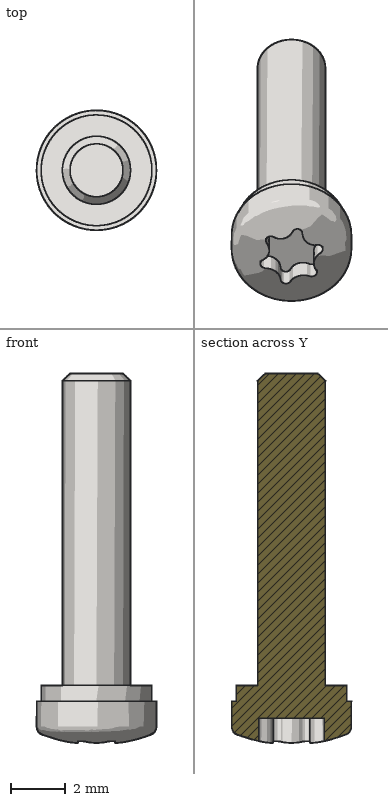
import cadquery as cq
import math

shank_diameter = 2.5
shank_end_height = 12.0
shank_chamfer_width = 0.28
shank_chamfer_height = 0.27
collar_diameter = 4.06
collar_height = 0.57
head_diameter = 4.4
head_height = 1.54
head_edge_radius = 0.32
dome_radius = 5.6

lobe_count = 6
lobe_tip_diameter = 2.39
lobe_root_diameter = 1.695
lobe_tip_radius = 0.19
recess_depth = 0.9

head_radius = head_diameter / 2
lobe_root_reach = lobe_root_diameter / 2


def dome_sag(radius):
    """Height of the dome surface above its apex at a distance from the axis."""
    return dome_radius - math.sqrt(dome_radius**2 - radius**2)


dome_apex_z = -head_height - dome_sag(lobe_root_reach)
dome_edge_z = dome_apex_z + dome_sag(head_radius)


def make_head():
    """Cylindrical head with a domed underside and a rounded edge."""
    mid_radius = head_radius / 2
    profile = (
        cq.Workplane("XZ")
        .moveTo(0, 0)
        .lineTo(head_radius, 0)
        .lineTo(head_radius, dome_edge_z)
        .threePointArc((mid_radius, dome_apex_z + dome_sag(mid_radius)), (0, dome_apex_z))
        .close()
    )
    head = profile.revolve(360, (0, 0, 0), (0, 1, 0))
    dome_edge = head.faces("<Z").edges("%CIRCLE").edges(">Z")
    return dome_edge.fillet(head_edge_radius)


def make_collar():
    """Low round step between the head and the shank."""
    return cq.Workplane("XY").circle(collar_diameter / 2).extrude(collar_height)


def make_shank():
    """Plain round shank with a chamfered free end."""
    shank = cq.Workplane("XY").circle(shank_diameter / 2).extrude(shank_end_height)
    return shank.faces(">Z").chamfer(shank_chamfer_height, shank_chamfer_width)


def polar(radius, angle):
    """Point in the XY plane at a distance and angle (radians) from the axis."""
    return (radius * math.cos(angle), radius * math.sin(angle))


def make_recess():
    """Six-lobe pocket: rounded lobe tips joined by tangent inward arcs."""
    half_pitch = math.pi / lobe_count
    tip_reach = lobe_tip_diameter / 2
    tip_center = tip_reach - lobe_tip_radius

    root_radius = (
        tip_center**2
        + lobe_root_reach**2
        - 2 * tip_center * lobe_root_reach * math.cos(half_pitch)
        - lobe_tip_radius**2
    ) / (2 * (lobe_tip_radius - lobe_root_reach + tip_center * math.cos(half_pitch)))

    root_x, root_y = polar(lobe_root_reach + root_radius, half_pitch)
    tip_share = lobe_tip_radius / (lobe_tip_radius + root_radius)
    tangent_x = tip_center + tip_share * (root_x - tip_center)
    tangent_y = tip_share * root_y
    tangent_reach = math.hypot(tangent_x, tangent_y)
    tangent_angle = math.atan2(tangent_y, tangent_x)

    outline = cq.Workplane("XY", origin=(0, 0, dome_apex_z))
    outline = outline.moveTo(*polar(tangent_reach, -tangent_angle))
    for index in range(lobe_count):
        lobe_angle = 2 * half_pitch * index
        next_angle = lobe_angle + 2 * half_pitch
        outline = outline.threePointArc(
            polar(tip_reach, lobe_angle),
            polar(tangent_reach, lobe_angle + tangent_angle),
        )
        outline = outline.threePointArc(
            polar(lobe_root_reach, lobe_angle + half_pitch),
            polar(tangent_reach, next_angle - tangent_angle),
        )
    floor_z = recess_depth - head_height
    return outline.close().extrude(floor_z - dome_apex_z)


result = make_head().union(make_collar()).union(make_shank()).cut(make_recess())